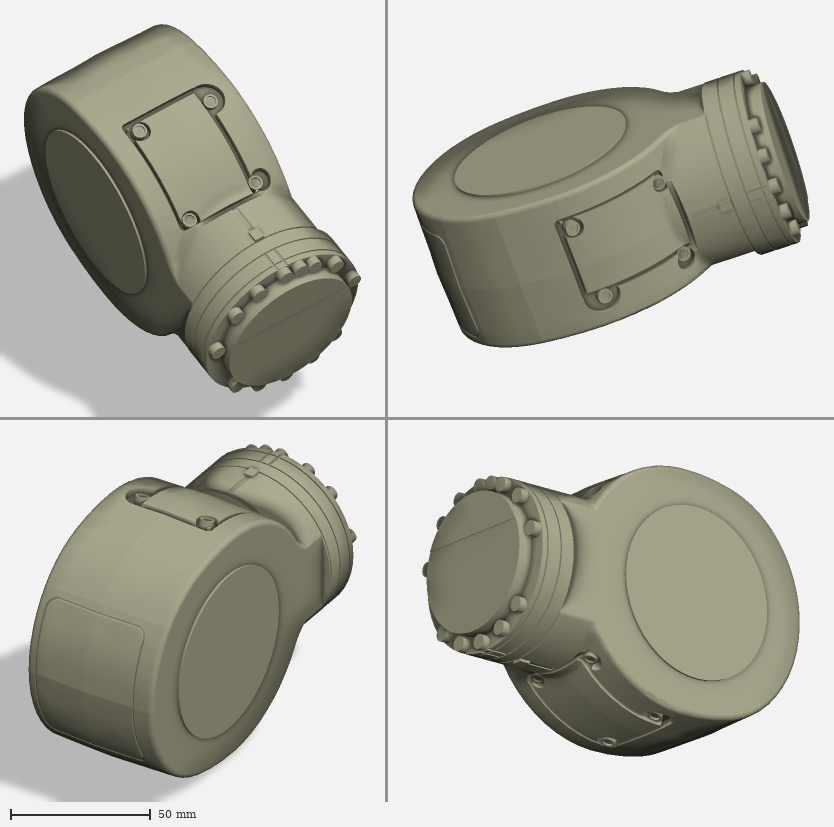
import cadquery as cq
import math

front_depth = 28.7
back_depth = 24.6
draft_angle = 1.7
edge_round = 1.9
outline_start = (-50.1, 0)
first_arc_middle = (-47.2, 16.6)
first_arc_end = (-38.8, 31.1)
crest = (5.5, 47.5)
neck_root = (54.0, 16.8)
tangent_arc_ends = ((-18.0, 44.5), crest, (46.8, 23.1), neck_root)
pad_radius = 32.6
pad_height = 0.9

flange_radius = 32.52
neck_blend = 2.7
neck_blend_min_x = 38.6
neck_start_x = 45.8
neck_slope_run = 1.5
neck_gap_floor = 29.3
neck_gap_half_width = 14.6
flange_x = 62.2
flange_end_x = 77.0
joint_positions = (flange_x, 68.1, 74.2)
joint_width = 0.7
joint_depth = 0.5
hub_radius = 26.2
hub_end_x = 82.6
hub_step = 0.3
hub_step_z = 10.4

head_radius = 2.8
head_length = 3.0
head_circle = 29.5
head_angles = (-78.8, -45, -22.5, 0, 12.5, 24.5, 47, 78.8, 135, 157.5, 180, -157.5, -135)

seam_width = 2.1
seam_depth = 0.4
block_start_x = 57.9
block_width = 3.7
block_top = 33.5
key_groove_y = 2.0
key_groove_width = 1.0
key_groove_depth = 0.5

panel_half_width = 20.7
panel_half_height = 28.5
panel_corner = 4.0
panel_groove = 0.8
panel_groove_depth = 0.7

cover_tilt = 20
recess_depth = 3.2
recess_min_x = -14.5
recess_max_x = 29.7
recess_min_y = -20.2
recess_max_y = 12.2
recess_corner = 2.0
cover_min_x = -12.4
cover_min_y = -18.8
cover_max_y = 10.0
cover_ears = ((-7.8, 12.5, 6.5), (26.5, 15.2, 3.9))
cover_notches = ((-9.2, -15.4, 4.0), (27.9, -15.4, 3.6))
cover_screws = (
    (-6.8, 13.5, 46.5),
    (26.3, 13.3, 42.5),
    (-9.2, -15.4, 47.2),
    (27.1, -15.4, 42.5),
)
cover_head_radius = 2.7
cover_head_length = 5.3
socket_radius = 1.9
socket_depth = 0.8


def housing_part(depth, inset):
    """Housing from the middle plane to -depth in Y, with its walls moved inwards by inset."""
    outline = cq.Workplane("XZ").moveTo(*outline_start)
    outline = outline.threePointArc(first_arc_middle, first_arc_end)
    for point in tangent_arc_ends:
        outline = outline.tangentArcPoint(point, relative=False)
    outline = outline.lineTo(flange_x, neck_root[1])
    outline = outline.lineTo(flange_x, 0)
    outline = outline.mirrorX()
    if inset > 0:
        outline = outline.offset2D(-inset)
    return outline.extrude(depth, taper=draft_angle)


def housing(inset=0.0):
    front = housing_part(front_depth, inset)
    back = housing_part(back_depth, inset).mirror("XZ")
    return front.union(back)


def skin(depth):
    """Outer layer of the housing wall, of the given depth."""
    block = cq.Workplane("XY").box(266, 266, 266)
    return block.cut(housing(depth))


def box_between(x_range, y_range, z_range):
    size = [high - low for low, high in (x_range, y_range, z_range)]
    return cq.Workplane("XY").box(*size, centered=False).translate((x_range[0], y_range[0], z_range[0]))


def disc_along_x(radius, start, end):
    return cq.Workplane("YZ").workplane(offset=start).circle(radius).extrude(end - start)


def neck():
    """Round neck, flattened where it meets the two housing faces."""
    cylinder = disc_along_x(flange_radius, 0, flange_x)
    slab = box_between((0, flange_x), (-front_depth, back_depth), (-flange_radius, flange_radius))
    flattened = cylinder.intersect(slab)
    return flattened.faces("<Y or >Y").edges("|X").fillet(edge_round)


def neck_gap():
    """Gap between the cover and the neck, with a sloping wall on each side."""
    def cover_wall_x(z):
        tilt = math.radians(cover_tilt)
        return (recess_max_x + z * math.sin(tilt)) / math.cos(tilt)

    gap_top = flange_radius + 0.1
    profile = [
        (cover_wall_x(neck_gap_floor), neck_gap_floor),
        (neck_start_x - neck_slope_run, neck_gap_floor),
        (neck_start_x, gap_top),
        (cover_wall_x(gap_top), gap_top),
    ]
    return cq.Workplane("XZ").polyline(profile).close().extrude(neck_gap_half_width, both=True)


def flange():
    body = disc_along_x(flange_radius, flange_x, flange_end_x)
    for x in joint_positions:
        ring = disc_along_x(flange_radius + 1.3, x, x + joint_width)
        body = body.cut(ring.cut(disc_along_x(flange_radius - joint_depth, x, x + joint_width)))
    for y in (-key_groove_y, key_groove_y):
        groove = box_between(
            (joint_positions[1], flange_end_x),
            (y - key_groove_width / 2, y + key_groove_width / 2),
            (flange_radius - key_groove_depth, flange_radius + 1.3),
        )
        body = body.cut(groove).cut(groove.mirror("XY"))

    hub = disc_along_x(hub_radius, flange_end_x, hub_end_x)
    step = disc_along_x(hub_radius, hub_end_x, hub_end_x + hub_step)
    step = step.intersect(
        box_between((0, 133), (-hub_radius, hub_radius), (hub_step_z, hub_radius))
    )
    body = body.union(hub).union(step)
    for angle in head_angles:
        y = head_circle * math.sin(math.radians(angle))
        z = head_circle * math.cos(math.radians(angle))
        head = disc_along_x(head_radius, flange_end_x, flange_end_x + head_length)
        body = body.union(head.translate((0, y, z)))
    return body


def seam():
    """Shallow groove along the crown of the neck."""
    return box_between(
        (neck_start_x, flange_x),
        (-seam_width / 2, seam_width / 2),
        (flange_radius - seam_depth, flange_radius + 1.3),
    )


def seam_block():
    return box_between(
        (block_start_x, flange_x), (-block_width / 2, block_width / 2), (flange_radius - 1.3, block_top)
    )


def rear_panel_groove():
    def panel(grow):
        outline = cq.Workplane("YZ").rect(
            2 * (panel_half_width + grow), 2 * (panel_half_height + grow)
        )
        solid = outline.extrude(-133)
        return solid.edges("|X").fillet(panel_corner + grow)

    frame = panel(panel_groove / 2).cut(panel(-panel_groove / 2))
    return frame.intersect(skin(panel_groove_depth))


def tall_disc(radius, x, y):
    return cq.Workplane("XY").center(x, y).circle(radius).extrude(133)


def tilted(solid):
    """Turn a solid built upright into the frame of the cover."""
    return solid.rotate((0, 0, 0), (0, 1, 0), cover_tilt)


def cover_recess():
    """Cover pocket following the housing wall; the cover itself is left standing."""
    recess = box_between((recess_min_x, recess_max_x), (recess_min_y, recess_max_y), (0, 133))
    recess = recess.edges("|Z").fillet(recess_corner)
    for x, y, radius in cover_ears:
        recess = recess.union(tall_disc(radius, x, y))
    cover = box_between((cover_min_x, recess_max_x), (cover_min_y, cover_max_y), (0, 133))
    for x, y, radius in cover_notches:
        cover = cover.cut(tall_disc(radius, x, y))
    return tilted(recess.cut(cover)).intersect(skin(recess_depth))


def cover_screw(x, y, top):
    base = cq.Workplane("XY").workplane(offset=top - cover_head_length).center(x, y)
    head = base.circle(cover_head_radius).extrude(cover_head_length)
    return tilted(head.faces(">Z").workplane().hole(2 * socket_radius, socket_depth))


def pad_discs():
    front_y = front_depth + pad_height
    span = front_y + back_depth + pad_height
    return cq.Workplane("XZ", origin=(0, -front_y, 0)).circle(pad_radius).extrude(-span)


def is_neck_seam(edge):
    """True for the edges where the round of the neck meets the housing wall, clear of the faces."""
    box = edge.BoundingBox()
    near_neck = box.xmin > neck_blend_min_x and box.xmax < flange_x - 1.3
    clear_of_faces = box.ymax > edge_round - front_depth and box.ymin < back_depth - edge_round
    return near_neck and clear_of_faces and edge.geomType() in ("BSPLINE", "LINE")


def housing_with_neck():
    """Housing with rounded face edges, joined to the neck by a hollow blend."""
    body = housing().faces("<Y or >Y").edges().fillet(edge_round)
    body = body.union(neck())
    seams = [edge for edge in body.edges().vals() if is_neck_seam(edge)]
    return body.newObject(seams).fillet(neck_blend)


gap = neck_gap()
result = housing_with_neck().cut(gap).cut(gap.mirror("XY"))
recess = cover_recess()
result = result.cut(recess).cut(recess.mirror("XY")).cut(rear_panel_groove())
seam_groove = seam()
result = result.cut(seam_groove).cut(seam_groove.mirror("XY"))
result = result.union(flange()).union(pad_discs())
block = seam_block()
result = result.union(block).union(block.mirror("XY"))
for screw in cover_screws:
    head = cover_screw(*screw)
    result = result.union(head).union(head.mirror("XY"))